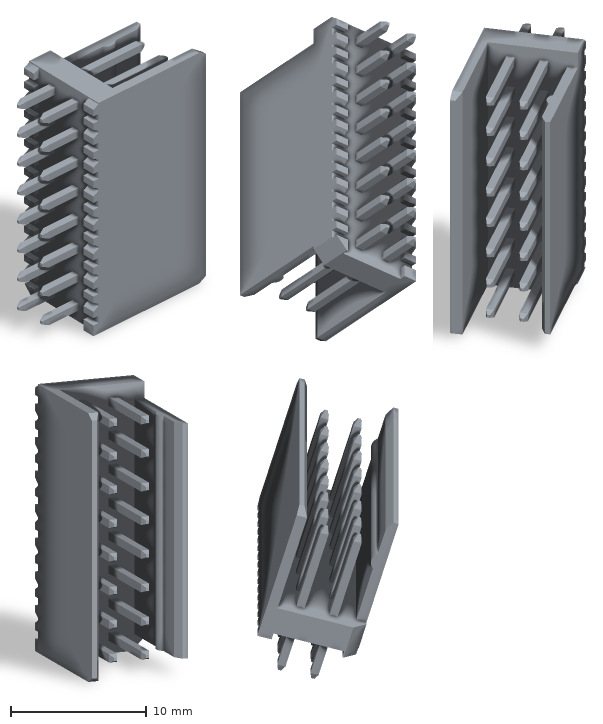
import cadquery as cq


PITCH = 2.55
PINS_PER_ROW = 8
ROW_X = (-PITCH / 2, PITCH / 2)
LENGTH = PITCH * PINS_PER_ROW
END_Z = LENGTH / 2
JOINT_Z = END_Z - PITCH / 2
PIN_Z = [-JOINT_Z + i * PITCH for i in range(PINS_PER_ROW)]

WIDTH = 7.6
SIDE_X = WIDTH / 2
BASE_DEPTH = 2.11
WALL_TOP = 10.69
WALL_THICKNESS = 0.8
WALL_TIP_THICKNESS = 0.4
LEAD_IN_DEPTH = 0.71
WALL_END_BEVEL = 0.4
KEY_CHAMFER = 1.0

RIDGE_Y = 7.23
RIDGE_HALF_WIDTH = 0.65
RIDGE_HEIGHT = 0.3

PIN_SIZE = 0.63
PIN_TIP_SIZE = 0.25
PIN_TAPER = 0.5
PIN_SOLDER_END = -3.41
PIN_MATING_END = 9.06

FOOT_WIDTH = 1.1
FOOT_HEIGHT = 0.5
NOTCH_ROOT = 0.2
NOTCH_MOUTH = 0.77
PIN_GAP = PIN_SIZE


def box_between(x0, x1, y0, y1, z0, z1):
    """Box between two opposite corners."""
    return cq.Workplane("XY").box(x1 - x0, y1 - y0, z1 - z0, centered=False).translate((x0, y0, z0))


def short_wall():
    """Wall on the -X side, between the joints, with a lead-in and a latching ridge."""
    inner_x = -SIDE_X + WALL_THICKNESS
    return (
        cq.Workplane("XY", origin=(0, 0, -JOINT_Z))
        .moveTo(-SIDE_X, 0)
        .lineTo(inner_x, 0)
        .lineTo(inner_x, RIDGE_Y - RIDGE_HALF_WIDTH)
        .threePointArc((inner_x + RIDGE_HEIGHT, RIDGE_Y), (inner_x, RIDGE_Y + RIDGE_HALF_WIDTH))
        .lineTo(inner_x, WALL_TOP - LEAD_IN_DEPTH)
        .lineTo(-SIDE_X + WALL_TIP_THICKNESS, WALL_TOP)
        .lineTo(-SIDE_X, WALL_TOP)
        .close()
        .extrude(2 * JOINT_Z)
    )


def long_wall():
    """Wall on the +X side, full length, with a lead-in and bevelled end corners."""
    inner_x = SIDE_X - WALL_THICKNESS
    profile = (
        cq.Workplane("XY", origin=(0, 0, -END_Z))
        .moveTo(SIDE_X, 0)
        .lineTo(SIDE_X, WALL_TOP)
        .lineTo(SIDE_X - WALL_TIP_THICKNESS, WALL_TOP)
        .lineTo(inner_x, WALL_TOP - LEAD_IN_DEPTH)
        .lineTo(inner_x, 0)
        .close()
        .extrude(LENGTH)
    )
    bevel_z = END_Z - WALL_END_BEVEL
    bevelled_outline = (
        cq.Workplane("YZ", origin=(inner_x, 0, 0))
        .polyline([
            (0, -END_Z),
            (WALL_TOP - LEAD_IN_DEPTH, -END_Z),
            (WALL_TOP, -bevel_z),
            (WALL_TOP, bevel_z),
            (WALL_TOP - LEAD_IN_DEPTH, END_Z),
            (0, END_Z),
        ])
        .close()
        .extrude(WALL_THICKNESS)
    )
    return profile.intersect(bevelled_outline)


def foot_rail(x0):
    """Row of feet along one side, with V notches between pins and square gaps beside pins."""
    rail = box_between(x0, x0 + FOOT_WIDTH, -FOOT_HEIGHT, 0, -END_Z, END_Z)
    for pin_z in PIN_Z:
        gap = box_between(
            x0, x0 + FOOT_WIDTH, -FOOT_HEIGHT, 0, pin_z - PIN_GAP / 2, pin_z + PIN_GAP / 2
        )
        notch_z = pin_z + PITCH / 2
        notch = (
            cq.Workplane("YZ", origin=(x0, 0, 0))
            .polyline([
                (0, notch_z - NOTCH_ROOT / 2),
                (0, notch_z + NOTCH_ROOT / 2),
                (-FOOT_HEIGHT, notch_z + NOTCH_MOUTH / 2),
                (-FOOT_HEIGHT, notch_z - NOTCH_MOUTH / 2),
            ])
            .close()
            .extrude(FOOT_WIDTH)
        )
        rail = rail.cut(gap).cut(notch)
    return rail


def key_cut():
    """Prism that chamfers the base and foot at the (-X, -Z) corner."""
    return (
        cq.Workplane("XZ", origin=(0, BASE_DEPTH, 0))
        .polyline([
            (-SIDE_X, -END_Z),
            (-SIDE_X + KEY_CHAMFER, -END_Z),
            (-SIDE_X, -END_Z + KEY_CHAMFER),
        ])
        .close()
        .extrude(BASE_DEPTH + FOOT_HEIGHT)
    )


def pin(x, z):
    """Square pin through the base, tapered at both ends."""
    shank_start = PIN_SOLDER_END + PIN_TAPER
    shank_end = PIN_MATING_END - PIN_TAPER
    half = PIN_SIZE / 2
    shank = box_between(x - half, x + half, shank_start, shank_end, z - half, z + half)
    for shoulder_y, offset in ((shank_start, PIN_TAPER), (shank_end, -PIN_TAPER)):
        tip = (
            cq.Workplane("XZ", origin=(x, shoulder_y, z))
            .rect(PIN_SIZE, PIN_SIZE)
            .workplane(offset=offset)
            .rect(PIN_TIP_SIZE, PIN_TIP_SIZE)
            .loft(ruled=True)
        )
        shank = shank.union(tip)
    return shank


def header_shape():
    """Overall shape of the header before it is divided into modules."""
    shape = box_between(-SIDE_X, SIDE_X, 0, BASE_DEPTH, -END_Z, END_Z)
    for foot_x in (-SIDE_X, SIDE_X - FOOT_WIDTH):
        shape = shape.union(foot_rail(foot_x))
    shape = shape.cut(key_cut())
    shape = shape.union(short_wall()).union(long_wall())
    for x in ROW_X:
        for z in PIN_Z:
            shape = shape.union(pin(x, z))
    return shape


def module(shape, z_bottom, z_top):
    """Part of the header between two heights."""
    slab = box_between(-SIDE_X, SIDE_X, PIN_SOLDER_END, WALL_TOP, z_bottom, z_top)
    return shape.intersect(slab)


header = header_shape()
lower_end_module = module(header, -END_Z, -JOINT_Z)
middle_module = module(header, -JOINT_Z, JOINT_Z)
upper_end_module = module(header, JOINT_Z, END_Z)

modules = (lower_end_module, middle_module, upper_end_module)
result = cq.Compound.makeCompound([solid for body in modules for solid in body.vals()])